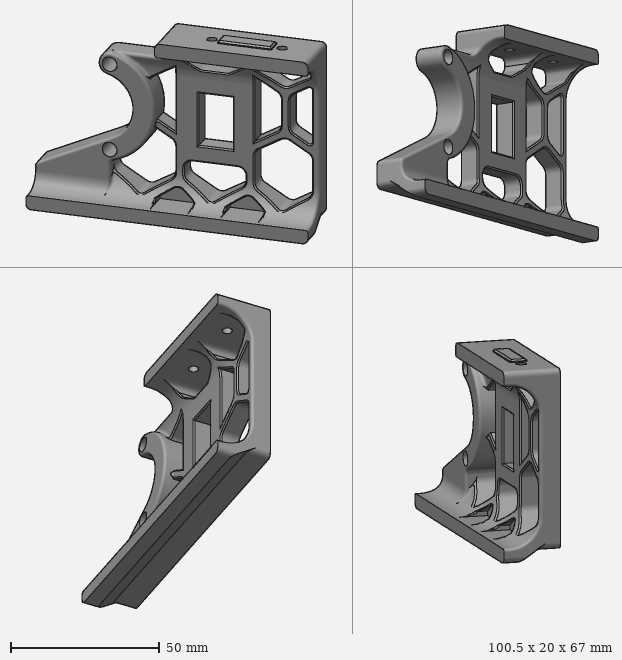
import cadquery as cq
import math

length = 100.5
depth = 20.0
height = 66.0
plate_thickness = 5.0
corner_radius = 2.0
edge_radius = 1.0

web_front = 13.0
cove_radius = 11.0
lip = web_front - cove_radius
floor_z = plate_thickness
ceiling_z = height - plate_thickness
lower_cove_z = floor_z + cove_radius
upper_cove_z = ceiling_z - cove_radius

block_front = 9.5
block_cove_radius = 5.0

foot_width = 5.4
relief_depth = 4.0
relief_end = 11.4

motor_x = 22.7
motor_z = 37.0
rib_radius = 16.0
rib_width = 8.0
inner_radius = rib_radius - rib_width / 2
outer_radius = rib_radius + rib_width / 2
hole_spacing = 31.0
motor_hole_diameter = 5.2
hole_x = motor_x + math.sqrt(rib_radius ** 2 - (hole_spacing / 2) ** 2)
hole_high_z = motor_z + hole_spacing / 2
hole_low_z = motor_z - hole_spacing / 2
arm_top_z = hole_high_z + rib_width / 2
ramp_angle = math.radians(25.0)

top_plate_left = 45.9
arm_fillet = 3.0
pad_x = 75.5
pad_y = 10.0
pad_length = 19.2
pad_width = 6.0
pad_height = 1.0
pad_chamfer = 0.6
screw_spacing = 25.0
screw_diameter = 3.4

cell_pitch = 25.1
cell_flats = 22.0
cell_radius = cell_flats / math.sqrt(3)
row_pitch = cell_pitch * math.sqrt(3) / 2
lattice_x = 37.9
lattice_z = 19.5
cell_fillet = 3.0
frame_fillet = 1.0
ceiling_fillet = 2.0
cell_chamfer = 0.5
cells_right = 97.7
pocket_half_width = 6.7
pocket_back = 12.0

panel_bottom = 19.5
panel_top = 53.1
window_x = 63.3
window_z = 35.0
window_width = 12.2
window_height = 19.0

ceiling_rim = 1.5
floor_rim = 0.5

overlap = 1.0
near = 0.1
exact = 0.01

block_right = lattice_x - cell_flats / 2


def on_motor_arc(radius, angle):
    """Point at the given radius and angle from the motor axis."""
    return (motor_x + radius * math.cos(angle), motor_z + radius * math.sin(angle))


def prism(sketch, reach=depth):
    """Extrude an XZ outline from the front plane towards the back."""
    return sketch.extrude(-reach)


def box(x0, x1, y0, y1, z0, z1):
    """Box between the given limits."""
    return cq.Workplane("XY").box(x1 - x0, y1 - y0, z1 - z0, centered=False).translate((x0, y0, z0))


def along_length(sketch):
    """Extrude a YZ outline past both ends of the part."""
    return sketch.extrude(length + 2 * overlap).translate((-overlap, 0, 0))


def corner_box(x, z, reach=depth):
    """Selector for what lies at one corner of an XZ outline, through the whole depth."""
    return cq.selectors.BoxSelector((x - overlap, 0, z - overlap), (x + overlap, reach, z + overlap))


def fillet_corner(body, x, z, radius):
    """Round the edge along Y at one corner of an XZ outline."""
    return body.edges("|Y").edges(corner_box(x, z)).fillet(radius)


def cut_underside(body):
    """Raise the rear of the base; the raised floor has rounded ends and a sloped front wall."""
    rise = relief_depth + corner_radius
    bend = corner_radius * (1 - math.sqrt(0.5))
    below_floor = prism(
        cq.Workplane("XZ").moveTo(-overlap, -overlap).lineTo(length + overlap, -overlap)
        .lineTo(length + overlap, rise).lineTo(length, rise)
        .threePointArc((length - bend, relief_depth + bend), (length - corner_radius, relief_depth))
        .lineTo(corner_radius, relief_depth)
        .threePointArc((bend, relief_depth + bend), (0, rise))
        .lineTo(-overlap, rise).close(), depth + overlap)
    slope = (relief_end - foot_width) / relief_depth
    behind_slope = along_length(cq.Workplane("YZ").polyline([
        (foot_width - slope * overlap, -overlap), (foot_width + slope * rise, rise),
        (depth + overlap, rise), (depth + overlap, -overlap)]).close())
    return body.cut(below_floor.intersect(behind_slope))


def make_web():
    """Base, top plate and web, without the cells."""
    anchor_x = 15.0
    anchor_z = 12.0
    body = prism(
        cq.Workplane("XZ").moveTo(anchor_x, 0).lineTo(length, 0).lineTo(length, height)
        .lineTo(top_plate_left, height).lineTo(top_plate_left, arm_top_z).lineTo(hole_x, arm_top_z)
        .lineTo(hole_x, hole_high_z)
        .threePointArc((motor_x + rib_radius, motor_z), (hole_x, hole_low_z))
        .lineTo(anchor_x, anchor_z).close())
    for x, z in ((length, 0), (length, height), (top_plate_left, height)):
        body = fillet_corner(body, x, z, corner_radius)
    body = fillet_corner(body, top_plate_left, arm_top_z, arm_fillet)
    body = cut_underside(body)
    bend = cove_radius * math.sqrt(0.5)
    cavity = (
        cq.Workplane("YZ").moveTo(-overlap, floor_z).lineTo(lip, floor_z)
        .threePointArc((lip + bend, lower_cove_z - bend), (web_front, lower_cove_z))
        .lineTo(web_front, upper_cove_z)
        .threePointArc((lip + bend, upper_cove_z + bend), (lip, ceiling_z))
        .lineTo(-overlap, ceiling_z).close())
    return body.cut(along_length(cavity))


def small_cove_z():
    """Height of the small cove's centre, which makes it tangent inside the large cove."""
    gap = cove_radius - block_cove_radius
    return lower_cove_z - math.sqrt(gap ** 2 - (block_front - block_cove_radius - lip) ** 2)


def make_block():
    """Motor block: ramp, curved rib and hook around the upper motor hole."""
    end_angle = math.atan2(hole_high_z - motor_z, hole_x - motor_x)
    ramp_start = on_motor_arc(inner_radius, ramp_angle - math.pi / 2)
    ramp_end_z = ramp_start[1] - ramp_start[0] * math.tan(ramp_angle)
    hook_outer = on_motor_arc(outer_radius, end_angle)
    hook_inner = on_motor_arc(inner_radius, end_angle)
    hook_tip = (hole_x - rib_width / 2 * math.sin(end_angle),
                hole_high_z + rib_width / 2 * math.cos(end_angle))
    notch_z = motor_z - math.sqrt(outer_radius ** 2 - (block_right - motor_x) ** 2)
    body = prism(
        cq.Workplane("XZ").moveTo(0, 0).lineTo(block_right, 0).lineTo(block_right, notch_z)
        .threePointArc((motor_x + outer_radius, motor_z), hook_outer)
        .threePointArc(hook_tip, hook_inner)
        .threePointArc((motor_x + inner_radius, motor_z), ramp_start)
        .lineTo(0, ramp_end_z).close())
    for x, z in ((0, 0), (0, ramp_end_z), (block_right, notch_z)):
        body = fillet_corner(body, x, z, corner_radius)
    body = cut_underside(body)

    small_y = block_front - block_cove_radius
    small_z = small_cove_z()
    join_angle = math.atan2(small_z - lower_cove_z, small_y - lip)
    mid_angle = (join_angle - math.pi / 2) / 2

    def large_cove(angle):
        return (lip + cove_radius * math.cos(angle), lower_cove_z + cove_radius * math.sin(angle))

    def small_cove(angle):
        return (small_y + block_cove_radius * math.cos(angle), small_z + block_cove_radius * math.sin(angle))

    cavity = (
        cq.Workplane("YZ").moveTo(-overlap, floor_z).lineTo(lip, floor_z)
        .threePointArc(large_cove(mid_angle), large_cove(join_angle))
        .threePointArc(small_cove(join_angle / 2), (block_front, small_z))
        .lineTo(block_front, height).lineTo(-overlap, height).close())
    return body.cut(along_length(cavity))


def fillet_near(body, boxes):
    """Round the edges whose centres lie in any of the given boxes."""
    edges = body.edges(cq.selectors.BoxSelector(*boxes[0]))
    for corners in boxes[1:]:
        edges = edges.add(body.edges(cq.selectors.BoxSelector(*corners)))
    return edges.fillet(edge_radius)


def end_slab(x, z0, z1, y0=near, y1=web_front + near):
    """Opposite corners of a thin box around an end face."""
    return ((x - near, y0, z0), (x + near, y1, z1))


def round_web_edges(body):
    """Round the edges around the open side of the right end, the arm and the top plate."""
    right_end = end_slab(length, floor_z - near, ceiling_z + near)
    plate_end = end_slab(top_plate_left, arm_top_z + arm_fillet + near, ceiling_z + near)
    arm_edges = ((hole_x - near, lip, arm_top_z - near),
                 (top_plate_left - near, web_front - near, arm_top_z + arm_fillet - near))
    body = fillet_near(body, [right_end])
    return fillet_near(body, [plate_end, arm_edges])


def round_block_edges(body):
    """Round the edges around the front face of the block and down both ends of its cove."""
    above_cove = small_cove_z() + near
    left_end = end_slab(0, floor_z - near, above_cove, y1=block_front - near)
    right_end = end_slab(block_right, floor_z - near, above_cove, y1=block_front - near)
    face = ((-near, block_front - near, above_cove + near), (length, block_front + near, height))
    return fillet_near(body, [left_end, right_end, face])


def make_cell(column, row, clip_radius, limits, back=depth + overlap):
    """Lattice cell clipped to (left, right, bottom, top); odd rows are offset by half a pitch."""
    x = lattice_x + (column + (row % 2) / 2) * cell_pitch
    z = lattice_z + row * row_pitch
    left, right, bottom, top = limits
    turns = [k * math.pi / 3 for k in range(6)]
    corners = [(x + cell_radius * math.sin(a), z + cell_radius * math.cos(a)) for a in turns]
    cell = cq.Workplane("XZ").polyline(corners).close().extrude(-back)
    cell = cell.intersect(box(left, right, 0, back, bottom, top))

    def is_lattice_corner(edge):
        centre = edge.Center()
        return math.hypot(centre.x - x, centre.z - z) > cell_radius - exact

    clip_corners = cell.edges("|Y").filter(lambda edge: not is_lattice_corner(edge))
    if clip_radius and clip_corners.size():
        cell = clip_corners.fillet(clip_radius)
    lattice_corners = cell.edges("|Y").filter(is_lattice_corner)
    if lattice_corners.size():
        cell = lattice_corners.fillet(cell_fillet)
    return cell


def cut_and_break_rim(body, cell, open_z=0.0):
    """Cut a cell and chamfer its rim on the open side, leaving out any rim edge at height open_z."""
    back = min(web_front, cell.val().BoundingBox().ymax - near)
    body = body.cut(cell)

    def is_rim(edge):
        middle = edge.positionAt(0.5)
        gap = cell.val().distance(cq.Vertex.makeVertex(*middle.toTuple()))
        return gap < exact and middle.y < back + exact and abs(middle.z - open_z) > exact

    return body.edges("not |Y").filter(is_rim).chamfer(cell_chamfer)


def cut_cells(body):
    """Cut the through cells around the panel and the window in the panel."""
    panel_left = lattice_x + cell_flats / 2
    panel_right = lattice_x + 2 * cell_pitch - cell_flats / 2
    whole = (0, length, 0, height)
    cells = [
        make_cell(0, 0, 0, whole),
        make_cell(1, 0, cell_fillet, (0, length, 0, panel_bottom)),
        make_cell(2, 0, cell_fillet, (0, cells_right, 0, height)),
        make_cell(0, 1, 0, (0, panel_left, 0, height)),
        make_cell(1, 1, 0, (panel_right, length, 0, height)),
        make_cell(2, 1, frame_fillet, (0, cells_right, 0, height)),
        box(window_x - window_width / 2, window_x + window_width / 2, 0, depth + overlap,
            window_z - window_height / 2, window_z + window_height / 2),
    ]
    for cell in cells:
        body = cut_and_break_rim(body, cell)
    return body


def cut_ceiling_cells(body):
    """Cut the upper cells, which run up to the underside of the top plate."""
    chamfer_end = ceiling_z - ceiling_rim
    for column, limit, bottom in ((1, length, panel_top), (2, cells_right, 0)):
        cell = make_cell(column, 2, frame_fillet, (0, limit, bottom, chamfer_end))
        body = cut_and_break_rim(body, cell, chamfer_end)
        x = lattice_x + column * cell_pitch
        left = x - cell_flats / 2
        right = min(x + cell_flats / 2, limit)
        mouth = box(left, right, 0, depth + overlap, ceiling_z - ceiling_fillet - ceiling_rim / 2, ceiling_z)
        for side in (left, right):
            corner = corner_box(side, ceiling_z, depth + overlap)
            mouth = mouth.edges("|Y").edges(corner).fillet(ceiling_fillet)
        body = body.cut(mouth)
    return body


def cut_pockets(body):
    """Cut the blind lattice pockets that open onto the base, level with its floor."""
    chamfer_end = floor_z + floor_rim
    for column in (0, 1):
        x = lattice_x + (column + 0.5) * cell_pitch
        left = x - pocket_half_width
        right = x + pocket_half_width
        cell = make_cell(column, -1, 0, (left, right, chamfer_end, height), pocket_back)
        body = cut_and_break_rim(body, cell, chamfer_end)
        body = body.cut(box(left, right, 0, pocket_back, floor_z, chamfer_end + overlap))
    return body


def add_pad(body):
    """Chamfered locating pad on the top plate, between two screw holes."""
    pad = box(pad_x - pad_length / 2, pad_x + pad_length / 2, pad_y - pad_width / 2, pad_y + pad_width / 2,
              ceiling_z, height + pad_height)
    pad = pad.faces(">Z").edges().chamfer(pad_chamfer)
    body = body.union(pad)
    for side in (-1, 1):
        x = pad_x + side * screw_spacing / 2
        hole = cq.Workplane("XY").center(x, pad_y).circle(screw_diameter / 2).extrude(plate_thickness)
        body = body.cut(hole.translate((0, 0, ceiling_z)))
    return body


def drill_motor_holes(body):
    """Drill the two motor screw holes right through the block."""
    for z in (hole_low_z, hole_high_z):
        body = body.cut(prism(cq.Workplane("XZ").center(hole_x, z).circle(motor_hole_diameter / 2)))
    return body


def blend_block_to_web(body):
    """Round the concave seams where the side walls of the block meet the web and its coves."""

    def is_seam(edge):
        middle = edge.positionAt(0.5)
        on_rib = abs(math.hypot(middle.x - motor_x, middle.z - motor_z) - outer_radius) < exact
        on_block_end = abs(middle.x - block_right) < exact and middle.z < lower_cove_z
        behind_rounding = block_front + edge_radius + near / 2 < middle.y < web_front + exact
        return (on_rib or on_block_end) and behind_rounding

    return body.edges("not |Y").filter(is_seam).fillet(edge_radius)


web = round_web_edges(make_web())
web = cut_pockets(cut_ceiling_cells(cut_cells(web)))
block = round_block_edges(make_block())
result = drill_motor_holes(add_pad(blend_block_to_web(web.union(block))))